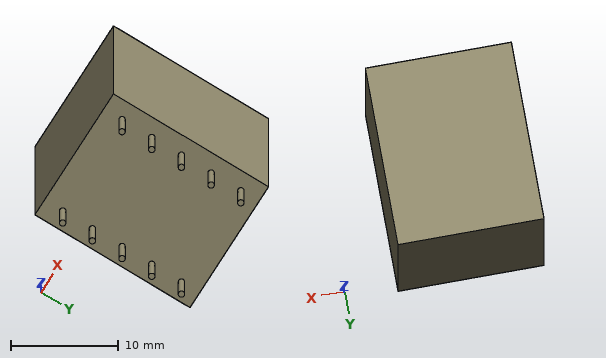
import cadquery as cq

body_width = 13.84
body_depth = 17.04
total_height = 26.54

pin_length = 4.0
pin_diameter = 0.6
pins_per_row = 5
row_count = 2
row_spacing = 10.45
pin_pitch = 3.26

body_height = total_height - pin_length


def make_body():
    """Plain housing block standing on the XY plane."""
    return cq.Workplane("XY").box(body_width, body_depth, body_height, centered=(True, True, False))


def make_pins():
    """Pins hanging down from the underside, centred on the housing."""
    return (
        cq.Workplane("XY")
        .rarray(row_spacing, pin_pitch, row_count, pins_per_row)
        .circle(pin_diameter / 2)
        .extrude(-pin_length)
    )


result = make_body().union(make_pins())